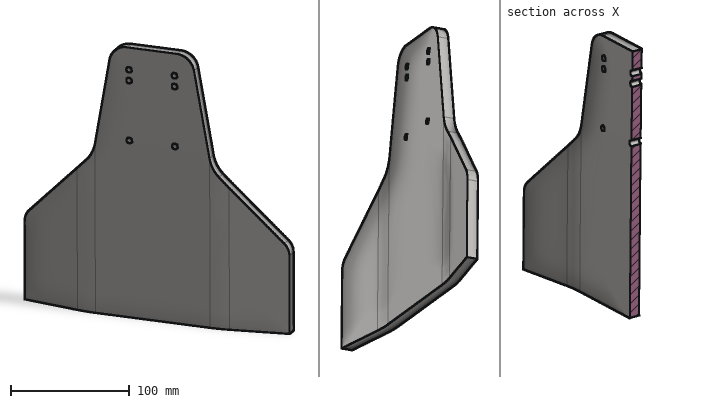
import cadquery as cq
import math

width = 240.0
depth = 23.06
height = 242.6

thickness = 10.0
bend_start = 52.0
bend_angle = 9.7
bend_radius = 100.0
bow_radius = 28000.0

top_corner_half_width = 36.0
neck_taper = 10.0
wing_side_height = 76.5
wing_slope = 45.0
top_corner_radius = 16.0
neck_root_radius = 30.0
wing_tip_radius = 15.0

hole_diameter = 5.0
hole_half_spacing = 20.6
hole_drops = (20.0, 29.7, 83.6)

margin = 20.0

half_width = width / 2
bend_radians = math.radians(bend_angle)
wing_start = bend_start + bend_radius * math.sin(bend_radians)
bend_rise = bend_radius * (1 - math.cos(bend_radians))
wing_rise = bend_rise + (half_width - wing_start) * math.tan(bend_radians)

lean_offset = depth - wing_rise - thickness
bow_drop = height**2 / (2 * bow_radius)
lean_angle = math.degrees(math.atan2(lean_offset + bow_drop, height))


def mirrored(point):
    """The same point on the other side of the symmetry plane."""
    return (-point[0], point[1])


def moved_back(point):
    """The point on the back face behind a point on the front face."""
    return (point[0], point[1] + thickness)


def bend_point(angle):
    """Front-face point on the right-hand bend after turning by angle (radians)."""
    x = bend_start + bend_radius * math.sin(angle)
    y = bend_radius * (1 - math.cos(angle))
    return (x, y)


def make_section():
    """Folded section, with wings that run past the finished width."""
    front_start = bend_point(0)
    front_middle = bend_point(bend_radians / 2)
    front_end = bend_point(bend_radians)
    front_tip = (half_width + margin, wing_rise + margin * math.tan(bend_radians))
    back_start = moved_back(front_start)
    back_middle = moved_back(front_middle)
    back_end = moved_back(front_end)
    back_tip = moved_back(front_tip)
    return (
        cq.Workplane("XY")
        .moveTo(*mirrored(front_start))
        .lineTo(*front_start)
        .threePointArc(front_middle, front_end)
        .lineTo(*front_tip)
        .lineTo(*back_tip)
        .lineTo(*back_end)
        .threePointArc(back_middle, back_start)
        .lineTo(*mirrored(back_start))
        .threePointArc(mirrored(back_middle), mirrored(back_end))
        .lineTo(*mirrored(back_tip))
        .lineTo(*mirrored(front_tip))
        .lineTo(*mirrored(front_end))
        .threePointArc(mirrored(front_middle), mirrored(front_start))
        .close()
    )


def make_bent_plate():
    """Section swept down along the bow, leaning about its top front edge."""
    axis_start = (0, -bow_radius, 0)
    axis_end = (1, -bow_radius, 0)
    sweep_angle = math.degrees((height + 2 * margin) / bow_radius)
    margin_angle = math.degrees(margin / bow_radius)
    plate = make_section().revolve(sweep_angle, axis_end, axis_start)
    plate = plate.rotate(axis_start, axis_end, margin_angle)
    plate = plate.translate((0, 0, height))
    return plate.rotate((0, 0, height), (1, 0, height), lean_angle)


def front_workplane():
    """XZ plane behind the part, from which prisms run forward through it."""
    return cq.Workplane("XZ", origin=(0, depth + margin, 0))


def make_outline():
    """Front silhouette as a prism along Y, with its corners rounded."""
    taper_tan = math.tan(math.radians(neck_taper))
    slope_tan = math.tan(math.radians(wing_slope))

    neck_foot = top_corner_half_width + height * taper_tan
    slope_height = wing_side_height + (half_width - neck_foot) * slope_tan
    root_height = slope_height / (1 - slope_tan * taper_tan)

    foot = (half_width, 0)
    wing_tip = (half_width, wing_side_height)
    root = (neck_foot - root_height * taper_tan, root_height)
    top_corner = (top_corner_half_width, height)
    right_side = [foot, wing_tip, root, top_corner]
    left_side = [mirrored(point) for point in reversed(right_side)]
    prism = (
        front_workplane()
        .polyline(right_side + left_side)
        .close()
        .extrude(depth + 2 * margin)
    )

    roundings = (
        (top_corner, top_corner_radius),
        (root, neck_root_radius),
        (wing_tip, wing_tip_radius),
    )
    for corner, radius in roundings:
        for x, z in (corner, mirrored(corner)):
            nearest = cq.selectors.NearestToPointSelector((x, depth / 2, z))
            prism = prism.edges("|Y").edges(nearest).fillet(radius)
    return prism


def make_holes():
    """Pins for the screw holes, right through the plate along Y."""
    centres = [
        (side * hole_half_spacing, height - drop)
        for side in (-1, 1)
        for drop in hole_drops
    ]
    return (
        front_workplane()
        .pushPoints(centres)
        .circle(hole_diameter / 2)
        .extrude(depth + 2 * margin)
    )


result = make_bent_plate().intersect(make_outline()).cut(make_holes())